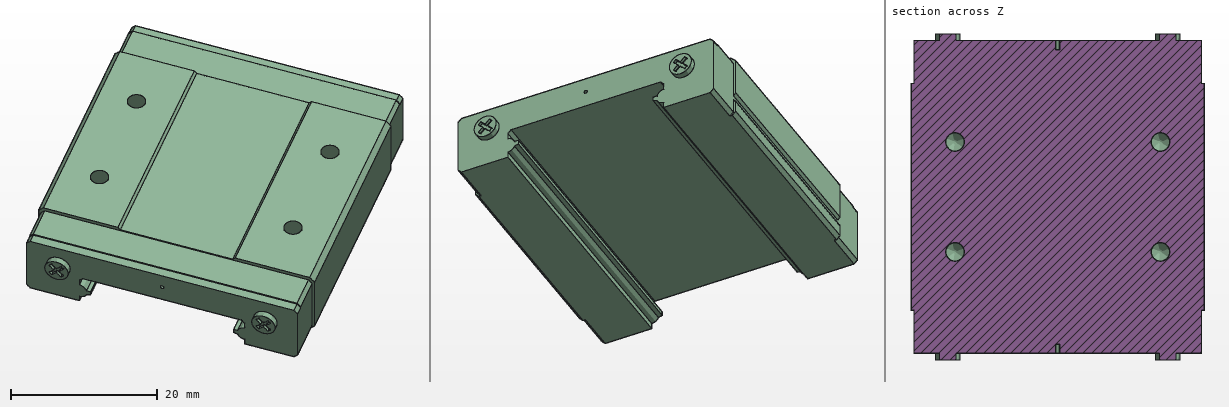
import cadquery as cq
import math

LENGTH = 44.5
HEIGHT = 10.0

BLOCK_WIDTH = 40.0
BLOCK_LENGTH = 30.95
BLOCK_TOP_CHAMFER = 0.7
BOTTOM_CHAMFER = 0.55

RELIEF_TOP_WIDTH = 17.0
RELIEF_DEPTH = 0.35

GROOVE_BOTTOM = 2.65
GROOVE_TOP = 3.35
GROOVE_FLARE = 0.4

HOUSING_WIDTH = 39.3
HOUSING_HEIGHT = 9.5
PLATE_HEIGHT = 9.3
PLATE_THICKNESS = 1.25
END_CHAMFER = 0.55

CHANNEL_WIDTH = 23.95
CHANNEL_HEIGHT = 4.6
CHANNEL_CORNER = 0.5
LIP_TIP_WIDTH = 20.75
LIP_ROOT_WIDTH = 21.9
LIP_UPPER_START = 3.2
LIP_TIP_TOP = 2.35
LIP_TIP_BOTTOM = 1.75
LIP_ROOT_BOTTOM = 1.55
LIP_LOWER_START = 0.9
LIP_FLANK_BULGE = 0.2

HOLE_SPACING_X = 28.05
HOLE_SPACING_Y = 15.0
HOLE_DIAMETER = 2.5
HOLE_DEPTH = 3.55
DRILL_POINT_ANGLE = 118.0

SCREW_SPACING = 30.0
SCREW_Z = 5.85
SCREW_DIAMETER = 3.4
SCREW_HEAD = 0.9
CROSS_LENGTH = 2.4
CROSS_WIDTH = 0.55
CROSS_DEPTH = 0.45

OIL_HOLE_DIAMETER = 0.5
OIL_HOLE_Z = 7.05

PLATE_END = LENGTH / 2 - SCREW_HEAD
HOUSING_LENGTH = 2 * (PLATE_END - PLATE_THICKNESS)


def extrude_along_y(points, length):
    """Prism with an XZ outline, centred on Y = 0."""
    return cq.Workplane("XZ").polyline(points).close().extrude(length / 2, both=True)


def mirrored_outline(right_side):
    """Close an outline of points on the +X side with their mirror images."""
    left_side = [(-x, z) for x, z in reversed(right_side)]
    return right_side + left_side


def chamfered_bar(width, height, length, top_chamfer):
    half = width / 2
    right_side = [
        (half - BOTTOM_CHAMFER, 0),
        (half, BOTTOM_CHAMFER),
        (half, height - top_chamfer),
        (half - top_chamfer, height),
    ]
    return extrude_along_y(mirrored_outline(right_side), length)


def pad_relief():
    half_top = RELIEF_TOP_WIDTH / 2
    right_side = [
        (half_top - RELIEF_DEPTH, HEIGHT - RELIEF_DEPTH),
        (half_top, HEIGHT),
    ]
    return extrude_along_y(mirrored_outline(right_side), BLOCK_LENGTH)


def reference_groove():
    """Flared groove whose floor is flush with the housing side."""
    face = -BLOCK_WIDTH / 2
    floor = -HOUSING_WIDTH / 2
    points = [
        (face, GROOVE_BOTTOM - GROOVE_FLARE),
        (floor, GROOVE_BOTTOM),
        (floor, GROOVE_TOP),
        (face, GROOVE_TOP + GROOVE_FLARE),
    ]
    return extrude_along_y(points, BLOCK_LENGTH)


def lip_flank(outline, start, end):
    """Add an arc from start to end that bulges into the channel at its middle."""
    middle_x = (start[0] + end[0]) / 2
    middle_z = (start[1] + end[1]) / 2
    run = end[0] - start[0]
    rise = end[1] - start[1]
    bulge = LIP_FLANK_BULGE / math.hypot(run, rise)
    return outline.threePointArc((middle_x - rise * bulge, middle_z + run * bulge), end)


def rail_channel():
    """Channel between two inward lips; one half is drawn and mirrored across X = 0."""
    half = CHANNEL_WIDTH / 2
    root = LIP_ROOT_WIDTH / 2
    tip = LIP_TIP_WIDTH / 2
    lower_start = (half, LIP_LOWER_START)
    upper_end = (half, LIP_UPPER_START)
    outline = cq.Workplane("XZ").lineTo(half, 0).lineTo(*lower_start)
    outline = lip_flank(outline, lower_start, (root, LIP_ROOT_BOTTOM))
    outline = outline.lineTo(tip, LIP_TIP_BOTTOM).lineTo(tip, LIP_TIP_TOP).lineTo(root, LIP_TIP_TOP)
    outline = lip_flank(outline, (root, LIP_TIP_TOP), upper_end)
    outline = (
        outline.lineTo(half, CHANNEL_HEIGHT - CHANNEL_CORNER)
        .lineTo(half - CHANNEL_CORNER, CHANNEL_HEIGHT)
        .lineTo(0, CHANNEL_HEIGHT)
        .close()
    )
    right_half = outline.extrude(LENGTH / 2, both=True)
    return right_half.union(right_half.mirror("YZ"))


def mounting_holes():
    """Blind holes with a conical drill point."""
    radius = HOLE_DIAMETER / 2
    point_depth = radius / math.tan(math.radians(DRILL_POINT_ANGLE / 2))
    floor = HEIGHT - HOLE_DEPTH
    section = [(0, HEIGHT), (radius, HEIGHT), (radius, floor), (0, floor - point_depth)]
    hole = cq.Workplane("XZ").polyline(section).close().revolve(360, (0, 0), (0, 1))
    centres = cq.Workplane("XY").rarray(HOLE_SPACING_X, HOLE_SPACING_Y, 2, 2)
    return centres.eachpoint(lambda place: hole.val().moved(place), combine=False)


def end_plane(side, y):
    """Plane facing outward from the end on the given side of Y."""
    return cq.Workplane(cq.Plane(origin=(0, side * y, 0), xDir=(1, 0, 0), normal=(0, side, 0)))


def add_end_details(body, side):
    """Screw heads, their cross recesses and the lubrication hole at one end."""
    up = -side
    screws = [(-SCREW_SPACING / 2, up * SCREW_Z), (SCREW_SPACING / 2, up * SCREW_Z)]
    heads = end_plane(side, PLATE_END).pushPoints(screws).circle(SCREW_DIAMETER / 2).extrude(SCREW_HEAD)
    body = body.union(heads)
    cross = cq.Sketch().rect(CROSS_LENGTH, CROSS_WIDTH, angle=45).rect(CROSS_LENGTH, CROSS_WIDTH, angle=-45)
    recesses = end_plane(side, LENGTH / 2).pushPoints(screws).placeSketch(cross).extrude(-CROSS_DEPTH)
    body = body.cut(recesses)
    oil_hole = (
        end_plane(side, PLATE_END)
        .center(0, up * OIL_HOLE_Z)
        .circle(OIL_HOLE_DIAMETER / 2)
        .extrude(-PLATE_THICKNESS)
    )
    return body.cut(oil_hole)


block = chamfered_bar(BLOCK_WIDTH, HEIGHT, BLOCK_LENGTH, BLOCK_TOP_CHAMFER)
block = block.cut(pad_relief()).cut(reference_groove())
housings = chamfered_bar(HOUSING_WIDTH, HOUSING_HEIGHT, HOUSING_LENGTH, END_CHAMFER)
plates = chamfered_bar(HOUSING_WIDTH, PLATE_HEIGHT, 2 * PLATE_END, END_CHAMFER)

result = plates.union(housings).union(block).cut(rail_channel()).cut(mounting_holes())
for end_side in (-1, 1):
    result = add_end_details(result, end_side)